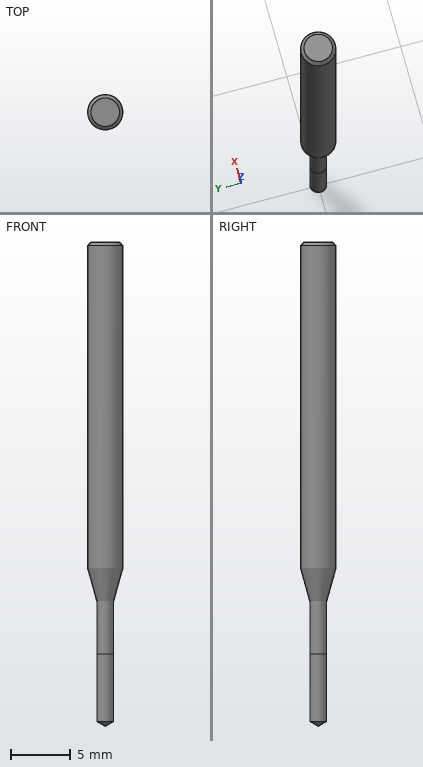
import cadquery as cq
import math

total_length = 41.0
shank_diameter = 3.0
end_chamfer = 0.3
shoulder_height = 13.35
taper_end_height = 10.58
cutter_length = 6.1
cutter_diameter = 1.45
point_angle = 120.0

shank_radius = shank_diameter / 2
cutter_radius = cutter_diameter / 2
point_height = cutter_radius / math.tan(math.radians(point_angle / 2))


def revolved_body(plane, profile):
    """Revolve (radius, height) points about Z, starting on the negative side of the plane."""
    points = [(-radius, height) for radius, height in profile]
    return cq.Workplane(plane).polyline(points).close().revolve(360, (0, 0), (0, 1))


def make_shank():
    """Chamfered cylindrical shank that tapers down to a plain neck."""
    return revolved_body("YZ", [
        (0, cutter_length),
        (cutter_radius, cutter_length),
        (cutter_radius, taper_end_height),
        (shank_radius, shoulder_height),
        (shank_radius, total_length - end_chamfer),
        (shank_radius - end_chamfer, total_length),
        (0, total_length),
    ])


def make_cutter():
    """Cylindrical cutter with a conical point, butted against the neck."""
    return revolved_body("XZ", [
        (0, 0),
        (cutter_radius, point_height),
        (cutter_radius, cutter_length),
        (0, cutter_length),
    ])


shank = make_shank()
cutter = make_cutter()

result = cq.Compound.makeCompound([shank.val(), cutter.val()])